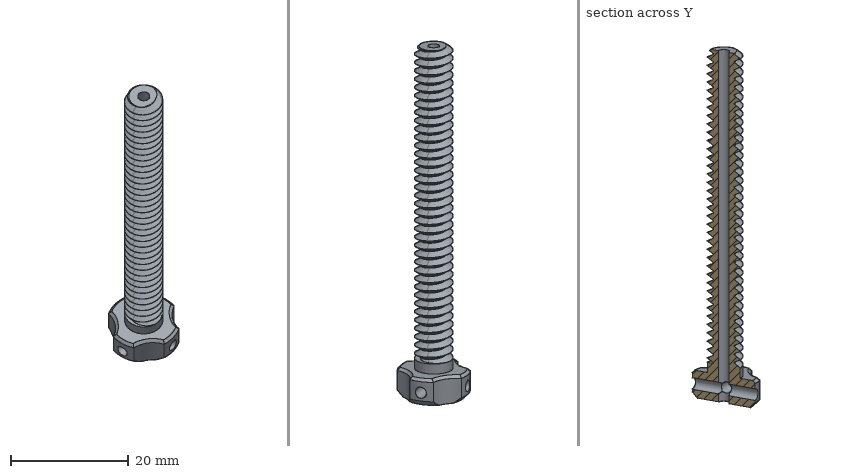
import cadquery as cq
import math

total_height = 63.12
bore_diameter = 2.0

head_diameter = 12.5
head_height = 5.0
head_top_chamfer = 0.5
head_bottom_chamfer = 1.0
scallop_count = 4
scallop_radius = 5.0
scallop_center_radius = 9.95

cross_hole_diameter = 2.0
cross_hole_height = head_height / 2

shank_diameter = 6.6
collar_top = 6.8
tip_chamfer = 0.75

pitch = 1.5
root_diameter = 4.2
root_flat = 0.1
crest_flat = 0.06
top_crest_height = 61.95

core_radius = bore_diameter / 4
spare_turns = 3
trim_size = 2 * head_diameter


def make_head():
    """Disc with a conical bottom chamfer, scalloped, with its top outline chamfered."""
    disc = (
        cq.Workplane("XY")
        .circle(head_diameter / 2)
        .extrude(head_height)
        .faces("<Z")
        .chamfer(head_bottom_chamfer)
    )
    first_scallop_angle = 180 / scallop_count
    scallops = (
        cq.Workplane("XY")
        .polarArray(scallop_center_radius, first_scallop_angle, 360, scallop_count)
        .circle(scallop_radius)
        .extrude(head_height)
    )
    return disc.cut(scallops).faces(">Z").edges().chamfer(head_top_chamfer)


def helix_turn(radius, height):
    """One right-hand turn of a helix that starts at the given height on the -Y side."""
    turn = cq.Wire.makeHelix(pitch, pitch, radius)
    return turn.rotate(cq.Vector(0, 0, 0), cq.Vector(0, 0, 1), -90).translate(cq.Vector(0, 0, height))


def helical_strip(lower, upper, base):
    """Face swept through one turn by the segment between two (radius, height) points."""
    return cq.Face.makeRuledSurface(
        helix_turn(lower[0], base + lower[1]),
        helix_turn(upper[0], base + upper[1]),
    )


def make_thread_coil():
    """Overlong threaded tube whose skin is built turn by turn from helical strips."""
    root_radius = root_diameter / 2
    crest_radius = shank_diameter / 2
    half_crest = crest_flat / 2
    half_base = (pitch - root_flat) / 2

    outside = [
        (root_radius, -half_base),
        (crest_radius, -half_crest),
        (crest_radius, half_crest),
        (root_radius, half_base),
        (root_radius, pitch - half_base),
    ]
    inside = [
        (core_radius, -half_base),
        (core_radius, pitch / 2 - half_base),
        (core_radius, pitch - half_base),
    ]

    turns = math.ceil((total_height - collar_top) / pitch) + spare_turns
    top_base = top_crest_height + (spare_turns - 1) * pitch
    bottom_base = top_base - turns * pitch

    faces = []
    for turn in range(turns):
        base = bottom_base + turn * pitch
        for wall in (outside, inside):
            for lower, upper in zip(wall, wall[1:]):
                faces.append(helical_strip(lower, upper, base))

    last_base = top_base - pitch
    faces.append(helical_strip(inside[0], outside[0], bottom_base))
    faces.append(helical_strip(inside[-1], outside[-1], last_base))
    for base in (bottom_base, top_base):
        corners = [cq.Vector(0, -radius, base + height) for radius, height in outside + inside[::-1]]
        faces.append(cq.Face.makeFromWires(cq.Wire.makePolygon(corners, close=True)))

    coil = cq.Solid.makeSolid(cq.Shell.makeShell(faces))
    return cq.Workplane(obj=coil)


def make_threaded_rod():
    """Thread trimmed flat at the collar and at the tip, with a 45 degree tip chamfer."""
    above_tip = (
        cq.Workplane("XY", origin=(0, 0, total_height))
        .rect(trim_size, trim_size)
        .extrude(trim_size)
    )
    below_thread = (
        cq.Workplane("XY", origin=(0, 0, collar_top))
        .rect(trim_size, trim_size)
        .extrude(-trim_size)
    )

    tip_radius = shank_diameter / 2 - tip_chamfer
    ring_reach = 2 * tip_chamfer
    tip_ring = (
        cq.Workplane("XZ")
        .polyline(
            [
                (tip_radius, total_height),
                (tip_radius + ring_reach, total_height - ring_reach),
                (tip_radius + ring_reach, total_height),
            ]
        )
        .close()
        .revolve(360, (0, 0, 0), (0, 1, 0))
    )
    return make_thread_coil().cut(above_tip).cut(below_thread).cut(tip_ring)


def make_collar():
    """Plain length of shank between the head and the thread."""
    return (
        cq.Workplane("XY")
        .workplane(offset=head_height)
        .circle(shank_diameter / 2)
        .extrude(collar_top - head_height)
    )


def drill_holes(body):
    """Axial bore through the whole part and two crossing holes through the head."""
    bore = cq.Workplane("XY").circle(bore_diameter / 2).extrude(total_height)
    body = body.cut(bore)
    for plane in ("XZ", "YZ"):
        cross_hole = (
            cq.Workplane(plane)
            .center(0, cross_hole_height)
            .circle(cross_hole_diameter / 2)
            .extrude(head_diameter, both=True)
        )
        body = body.cut(cross_hole)
    return body


result = drill_holes(make_head().union(make_collar()).union(make_threaded_rod()))